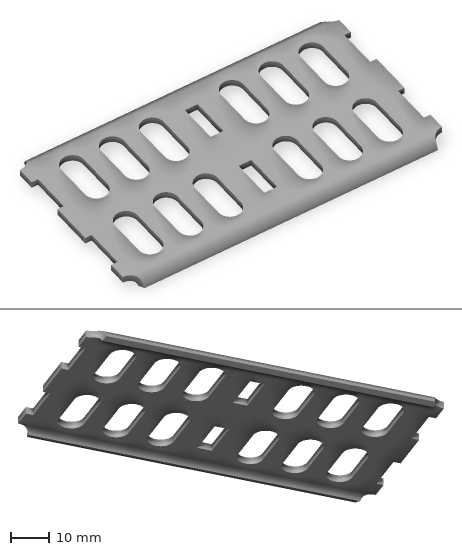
import cadquery as cq
import math

width = 56.0
length = 100.0
height = 3.5
thickness = 2.0

bend_outer_radius = 4.0
bend_inner_radius = bend_outer_radius - thickness
bend_angle = math.acos((bend_outer_radius - height) / bend_inner_radius)
bend_reach = bend_outer_radius * math.sin(bend_angle)
flat_half_width = width / 2 - bend_reach

pitch = 12.5
column_x = 12.5
slot_length = 18.0
slot_width = 7.0
slot_rows_per_half = 3

corner_relief_radius = 4.0

window_length = 12.0
window_width = 4.0


def bend_point(side, radius, angle):
    """Point on a bend arc, at an angle measured from the top of the arc."""
    x = side * (flat_half_width + radius * math.sin(angle))
    z = thickness - bend_outer_radius + radius * math.cos(angle)
    return x, z


def make_bent_plate():
    """Flat strip with both long edges rolled downwards, centred on the origin."""
    half_angle = bend_angle / 2
    profile = (
        cq.Workplane("XZ")
        .moveTo(-flat_half_width, thickness)
        .lineTo(flat_half_width, thickness)
        .threePointArc(
            bend_point(1, bend_outer_radius, half_angle),
            bend_point(1, bend_outer_radius, bend_angle),
        )
        .lineTo(*bend_point(1, bend_inner_radius, bend_angle))
        .threePointArc(
            bend_point(1, bend_inner_radius, half_angle),
            (flat_half_width, 0),
        )
        .lineTo(-flat_half_width, 0)
        .threePointArc(
            bend_point(-1, bend_inner_radius, half_angle),
            bend_point(-1, bend_inner_radius, bend_angle),
        )
        .lineTo(*bend_point(-1, bend_outer_radius, bend_angle))
        .threePointArc(
            bend_point(-1, bend_outer_radius, half_angle),
            (-flat_half_width, thickness),
        )
        .close()
    )
    return profile.extrude(length / 2, both=True)


def make_slots():
    """Rounded slots in two columns, with the middle row left free for the windows."""
    rows = range(-slot_rows_per_half, slot_rows_per_half + 1)
    centres = [(x, row * pitch) for x in (-column_x, column_x) for row in rows if row != 0]
    return cq.Workplane("XY").pushPoints(centres).slot2D(slot_length, slot_width).extrude(thickness)


def make_windows_and_notches():
    """Rectangles at mid-length and on both ends, where half of each falls off the plate."""
    centres = [(x, y) for x in (-column_x, column_x) for y in (-length / 2, 0, length / 2)]
    return cq.Workplane("XY").pushPoints(centres).rect(window_length, window_width).extrude(thickness)


def make_corner_reliefs():
    """Vertical cylinders on the plate corners that clear the ends of the rolled edges."""
    return (
        cq.Workplane("XY")
        .rect(width, length, forConstruction=True)
        .vertices()
        .circle(corner_relief_radius)
        .extrude(height, both=True)
    )


result = (
    make_bent_plate()
    .cut(make_slots())
    .cut(make_windows_and_notches())
    .cut(make_corner_reliefs())
)